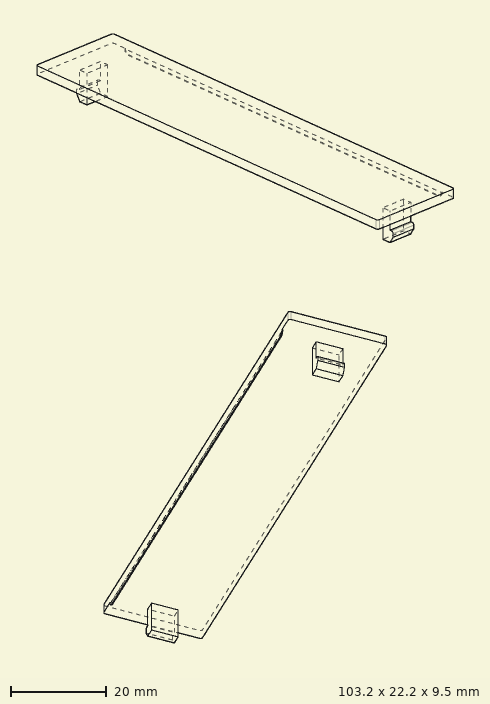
import cadquery as cq

plate_length = 103.2
plate_width = 22.2
plate_thickness = 2.2
corner_radius = 1.0 / 2

total_height = 9.5
leg_width = 6.0
leg_inner_x = 44.7
leg_outer_x = 46.9
barb_tip_x = 47.8
barb_top_z = -6.6
barb_chamfer_start_z = -7.9
barb_chamfer_run = 0.9

lip_length = 2 * barb_tip_x
lip_drop = 1.1
lip_corner_radius = 0.9
lip_thickness = 0.2


def make_plate():
    """Flat plate with rounded upright corners."""
    plate = cq.Workplane("XY").box(
        plate_length, plate_width, plate_thickness, centered=(True, True, False)
    )
    return plate.edges("|Z").fillet(corner_radius).translate((0, 0, -plate_thickness))


def make_leg():
    """Snap leg at the +X end, with an outward barb that is rounded above and chamfered below."""
    return (
        cq.Workplane("XZ")
        .moveTo(leg_inner_x, -plate_thickness)
        .lineTo(leg_outer_x, -plate_thickness)
        .lineTo(leg_outer_x, barb_top_z)
        .lineTo(barb_tip_x - corner_radius, barb_top_z)
        .radiusArc((barb_tip_x, barb_top_z - corner_radius), corner_radius)
        .lineTo(barb_tip_x, barb_chamfer_start_z)
        .lineTo(barb_tip_x - barb_chamfer_run, -total_height)
        .lineTo(leg_inner_x, -total_height)
        .close()
        .extrude(leg_width / 2, both=True)
    )


def make_lip():
    """Thin strip flush with the +Y edge, with rounded lower corners."""
    lip = cq.Workplane("XY").box(
        lip_length, lip_thickness, lip_drop, centered=(True, False, False)
    )
    lip = lip.edges("|Y and <Z").fillet(lip_corner_radius)
    return lip.translate((0, plate_width / 2 - lip_thickness, -plate_thickness - lip_drop))


leg = make_leg()
result = make_plate().union(leg).union(leg.mirror("YZ")).union(make_lip())